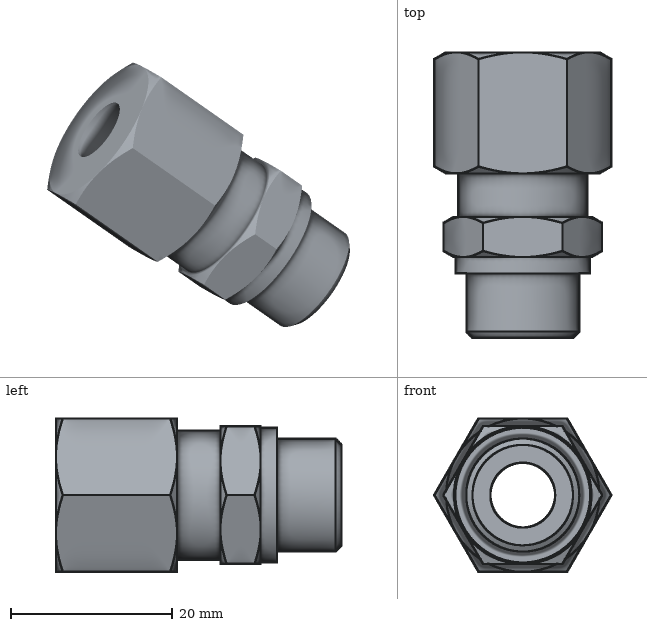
import cadquery as cq
import math

total_length = 35.4
spigot_length = 8.0
flange_length = 2.02
body_hex_length = 5.0
nut_length = 15.0

spigot_diameter = 14.02
flange_diameter = 16.7
collar_diameter = 16.07
bore_diameter = 8.0
body_hex_flats = 17.05
nut_flats = 19.0

spigot_chamfer = 0.78
hex_chamfer_angle = 30.0

flange_start = spigot_length
body_hex_start = flange_start + flange_length
collar_start = body_hex_start + body_hex_length
nut_start = total_length - nut_length


def face_at(y):
    """Workplane across the Y axis, facing +Y, with its local Y along -Z."""
    return cq.Workplane(cq.Plane(origin=(0, y, 0), xDir=(1, 0, 0), normal=(0, 1, 0)))


def cylinder(start, end, diameter):
    return face_at(start).circle(diameter / 2).extrude(end - start)


def chamfered_hexagon(start, length, flats):
    """Hexagon with corners on X, its corners coned off at both ends down to the flats."""
    flat_radius = flats / 2
    corner_radius = flat_radius / math.cos(math.radians(30))
    chamfer_depth = (corner_radius - flat_radius) * math.tan(math.radians(hex_chamfer_angle))
    end = start + length
    prism = face_at(start).polygon(6, 2 * corner_radius).extrude(length)
    coned_blank = (
        cq.Workplane("XY")
        .moveTo(0, start)
        .lineTo(flat_radius, start)
        .lineTo(corner_radius, start + chamfer_depth)
        .lineTo(corner_radius, end - chamfer_depth)
        .lineTo(flat_radius, end)
        .lineTo(0, end)
        .close()
        .revolve(360, (0, 0, 0), (0, 1, 0))
    )
    return prism.intersect(coned_blank)


spigot = cylinder(0, flange_start, spigot_diameter).faces("<Y").chamfer(spigot_chamfer)

flange = cylinder(flange_start, body_hex_start, flange_diameter)
body_hex = chamfered_hexagon(body_hex_start, body_hex_length, body_hex_flats)
collar = cylinder(collar_start, nut_start, collar_diameter)
nut = chamfered_hexagon(nut_start, nut_length, nut_flats)

bore = cylinder(0, total_length, bore_diameter)

result = spigot.union(flange).union(body_hex).union(collar).union(nut).cut(bore)